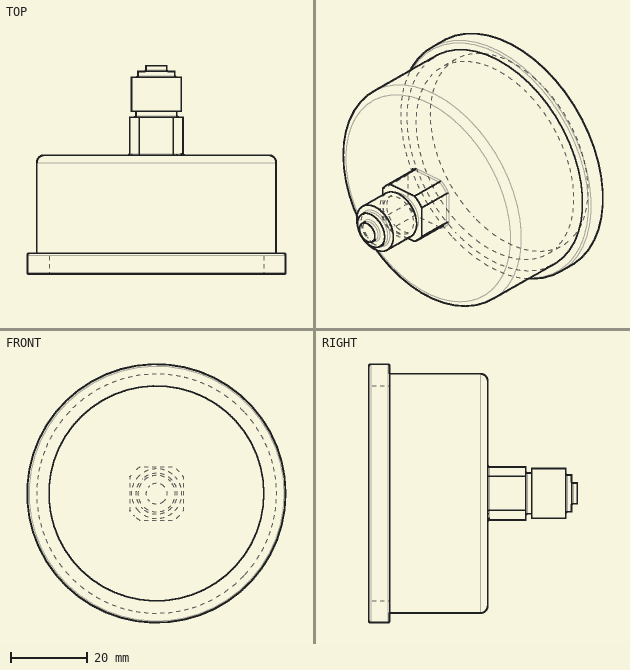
import cadquery as cq


bezel_diameter = 68.0
bezel_depth = 5.5
bezel_edge_radius = 0.5
window_diameter = 56.5

case_diameter = 63.0
case_back_y = 31.3
case_edge_radius = 2.0

shank_across_flats = 14.0
shank_corner_diameter = 16.6
shank_length = 10.0
neck_diameter = 10.8
neck_length = 1.5
thread_diameter = 13.157
thread_length = 9.0
collar_diameter = 9.7
collar_length = 1.5
tip_diameter = 5.5
tip_length = 1.5
root_radius = 0.4

shank_end_y = case_back_y + shank_length
neck_end_y = shank_end_y + neck_length
thread_end_y = neck_end_y + thread_length
collar_end_y = thread_end_y + collar_length


def disc(diameter, start_y, length):
    """Solid cylinder on the gauge axis, growing toward +Y from start_y."""
    plane = cq.Workplane("XZ", origin=(0, start_y, 0))
    return plane.circle(diameter / 2).extrude(-length)


def rooted_stage(diameter, start_y, length):
    """Round connector stage with a concave fillet at its root."""
    radius = diameter / 2
    return (
        cq.Workplane("XY")
        .moveTo(0, start_y)
        .lineTo(radius + root_radius, start_y)
        .radiusArc((radius, start_y + root_radius), root_radius)
        .lineTo(radius, start_y + length)
        .lineTo(0, start_y + length)
        .close()
        .revolve(360, (0, 0, 0), (0, 1, 0))
    )


def make_bezel():
    """Ring with rounded outer edges, bored through for the window."""
    ring = disc(bezel_diameter, 0, bezel_depth).edges().fillet(bezel_edge_radius)
    return ring.cut(disc(window_diameter, 0, bezel_depth))


def make_window():
    """Round pane, flush with the bezel front and filling its bore."""
    return disc(window_diameter, 0, bezel_depth)


def make_drum():
    """Plain case drum with a rounded back edge."""
    drum = disc(case_diameter, bezel_depth, case_back_y - bezel_depth)
    return drum.faces(">Y").edges().fillet(case_edge_radius)


def make_shank():
    """Square wrench shank with its corners turned round."""
    square = (
        cq.Workplane("XZ", origin=(0, case_back_y, 0))
        .rect(shank_across_flats, shank_across_flats)
        .extrude(-shank_length)
    )
    return square.intersect(disc(shank_corner_diameter, case_back_y, shank_length))


def make_case():
    """Case drum and connector in one piece, the shank blended into the case back."""
    case = make_drum().union(make_shank())

    root_box = cq.selectors.BoxSelector(
        (-shank_corner_diameter, case_back_y - root_radius, -shank_corner_diameter),
        (shank_corner_diameter, case_back_y + root_radius, shank_corner_diameter),
        boundingbox=True,
    )
    case = case.edges(root_box).fillet(root_radius)

    neck = rooted_stage(neck_diameter, shank_end_y, neck_length)
    thread = disc(thread_diameter, neck_end_y, thread_length)
    collar = rooted_stage(collar_diameter, thread_end_y, collar_length)
    tip = rooted_stage(tip_diameter, collar_end_y, tip_length)
    return case.union(neck).union(thread).union(collar).union(tip)


bezel = make_bezel()
window = make_window()
case = make_case()

result = cq.Compound.makeCompound([bezel.val(), window.val(), case.val()])